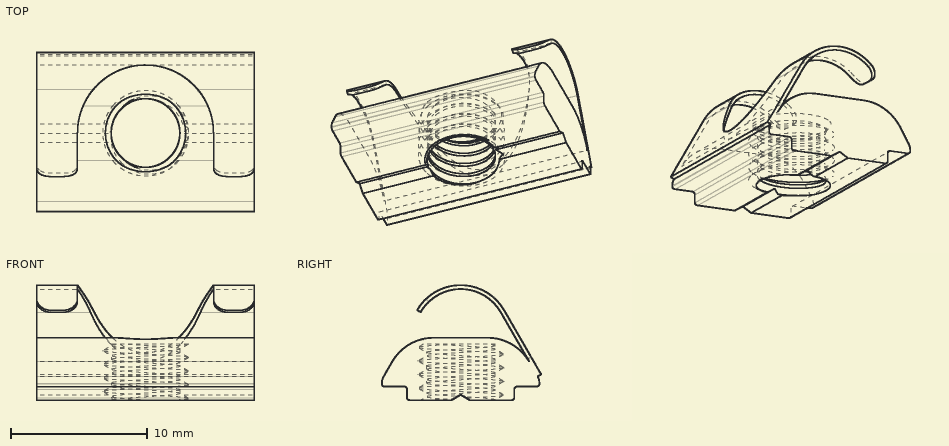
import cadquery as cq
import math

length = 16.0
body_height = 4.6
half_width = 5.80
top_flat_half = 2.0
shoulder_radius = 3.5
flank_angle = math.radians(60)
edge_radius = 1.0
corner_radius = 0.2
stem_half_width = 3.95
stem_height = 1.0
notch_half_width = 0.67
notch_depth = 0.4

bore_diameter = 5.04
pitch = 1.0
thread_half_angle = math.radians(30)
crest_width = 0.27
groove_start_z = -0.84
groove_turns = 5.5
countersink_diameter = 5.9
tool_overlap = 0.1

total_height = 8.47
strip_thickness = 0.3
strip_end_angle = math.radians(30)
window_width = 10.0
tongue_corner_radius = 1.0

flank_normal_y = math.sin(flank_angle)
flank_normal_z = math.cos(flank_angle)
flank_top_y = top_flat_half + shoulder_radius * flank_normal_y
flank_top_z = body_height - shoulder_radius * (1 - flank_normal_z)
flank_bottom_y = half_width - edge_radius * (1 - flank_normal_y)
flank_bottom_z = flank_top_z - (flank_bottom_y - flank_top_y) * math.tan(flank_angle)
edge_centre_y = half_width - edge_radius
edge_bottom_z = flank_bottom_z - edge_radius * flank_normal_z

strip_offset = flank_top_y * flank_normal_y + flank_top_z * flank_normal_z + strip_thickness
curl_z = (total_height - strip_offset) / (1 - flank_normal_z)
curl_outer_radius = total_height - curl_z
curl_inner_radius = curl_outer_radius - strip_thickness

countersink_foot_z = body_height - (countersink_diameter - bore_diameter) / 2


def polar(centre_y, centre_z, radius, angle):
    return centre_y + radius * math.cos(angle), centre_z + radius * math.sin(angle)


def extrude_along_length(profile):
    return profile.extrude(length / 2, both=True)


def make_half_body():
    flank_normal_angle = math.pi / 2 - flank_angle
    shoulder_middle = (math.pi / 2 + flank_normal_angle) / 2
    shoulder_centre_z = body_height - shoulder_radius
    half_diagonal = corner_radius * math.sqrt(0.5)
    foot_y = stem_half_width - corner_radius
    root_y = stem_half_width + corner_radius
    tip_y = half_width - corner_radius
    tip_z = stem_height + corner_radius
    root_z = stem_height - corner_radius
    profile = (
        cq.Workplane("YZ")
        .moveTo(0, body_height)
        .lineTo(top_flat_half, body_height)
        .threePointArc(
            polar(top_flat_half, shoulder_centre_z, shoulder_radius, shoulder_middle),
            (flank_top_y, flank_top_z),
        )
        .lineTo(flank_bottom_y, flank_bottom_z)
        .threePointArc(
            polar(edge_centre_y, edge_bottom_z, edge_radius, flank_normal_angle / 2),
            (half_width, edge_bottom_z),
        )
        .lineTo(half_width, tip_z)
        .threePointArc((tip_y + half_diagonal, tip_z - half_diagonal), (tip_y, stem_height))
        .lineTo(root_y, stem_height)
        .threePointArc((root_y - half_diagonal, root_z + half_diagonal), (stem_half_width, root_z))
        .lineTo(stem_half_width, corner_radius)
        .threePointArc((foot_y + half_diagonal, corner_radius - half_diagonal), (foot_y, 0))
        .lineTo(notch_half_width, 0)
        .lineTo(0, notch_depth)
        .close()
    )
    return extrude_along_length(profile)


def make_body():
    half = make_half_body()
    return half.union(half.mirror("XZ"))


def make_strip():
    flank_normal_angle = math.pi / 2 - flank_angle
    free_angle = math.pi - strip_end_angle
    middle_angle = (flank_normal_angle + free_angle) / 2
    outer_bottom = (
        flank_bottom_y + strip_thickness * flank_normal_y,
        flank_bottom_z + strip_thickness * flank_normal_z,
    )
    profile = (
        cq.Workplane("YZ")
        .moveTo(*outer_bottom)
        .lineTo(*polar(0, curl_z, curl_outer_radius, flank_normal_angle))
        .threePointArc(
            polar(0, curl_z, curl_outer_radius, middle_angle),
            polar(0, curl_z, curl_outer_radius, free_angle),
        )
        .lineTo(*polar(0, curl_z, curl_inner_radius, free_angle))
        .threePointArc(
            polar(0, curl_z, curl_inner_radius, middle_angle),
            polar(0, curl_z, curl_inner_radius, flank_normal_angle),
        )
        .lineTo(flank_bottom_y, flank_bottom_z)
        .close()
    )
    return extrude_along_length(profile)


def make_window():
    """Round-ended opening around the hole that splits the curl into two tongues."""
    radius = window_width / 2
    round_end = cq.Workplane("XY").circle(radius).extrude(total_height + tool_overlap)
    straight = (
        cq.Workplane("XY")
        .center(0, -radius)
        .rect(window_width, window_width)
        .extrude(total_height + tool_overlap)
    )
    return round_end.union(straight)


def make_spring():
    spring = make_strip().cut(make_window())
    free_corners = cq.selectors.BoxSelector(
        (-length, -curl_outer_radius, flank_top_z),
        (length, -curl_inner_radius * math.cos(strip_end_angle), total_height),
    )
    radial_direction = (0, -math.cos(strip_end_angle), math.sin(strip_end_angle))
    corners = spring.edges(cq.selectors.ParallelDirSelector(cq.Vector(*radial_direction)))
    return corners.edges(free_corners).fillet(tongue_corner_radius)


def make_thread_groove():
    """Helical groove ended level at the foot of the countersink."""
    inner_radius = bore_diameter / 2 - tool_overlap
    width_at_bore = pitch - crest_width
    slope = math.tan(thread_half_angle)
    root_radius = bore_diameter / 2 + width_at_bore / 2 / slope
    mouth_half = (root_radius - inner_radius) * slope
    helix_height = groove_turns * pitch
    helix = cq.Wire.makeHelix(pitch, helix_height, bore_diameter / 2)
    groove = (
        cq.Workplane("XZ")
        .polyline([
            (inner_radius, -mouth_half),
            (root_radius, 0),
            (inner_radius, mouth_half),
        ])
        .close()
        .sweep(cq.Workplane(obj=helix), isFrenet=True)
    )
    threaded_zone = (
        cq.Workplane("XY")
        .workplane(offset=-pitch)
        .circle(root_radius + tool_overlap)
        .extrude(countersink_foot_z + pitch)
    )
    return groove.translate((0, 0, groove_start_z)).intersect(threaded_zone)


def make_countersink():
    """Cone extended above the body to clear its top."""
    bore_radius = bore_diameter / 2
    top_radius = countersink_diameter / 2 + tool_overlap
    cone = cq.Solid.makeCone(bore_radius, top_radius, top_radius - bore_radius)
    return cq.Workplane(obj=cone).translate((0, 0, countersink_foot_z))


bore = cq.Workplane("XY").circle(bore_diameter / 2).extrude(body_height)
body = make_body().cut(bore).cut(make_countersink()).cut(make_thread_groove())
result = body.union(make_spring())